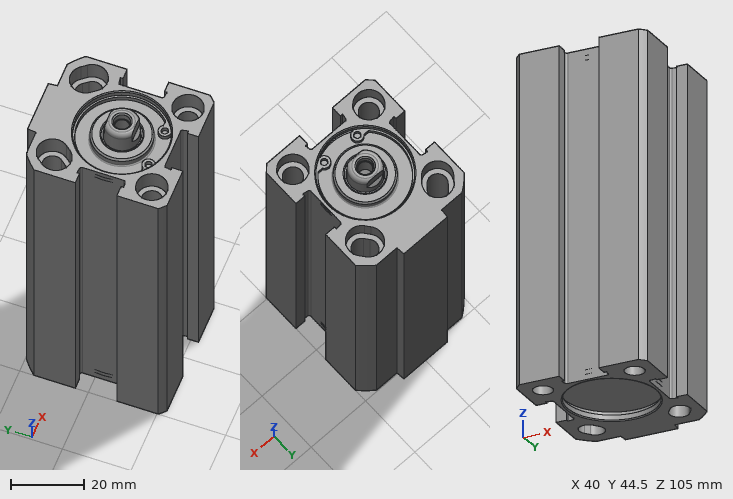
import cadquery as cq
import math

body_width = 40.0
body_depth = 44.5
body_height = 99.5
body_front = -body_width / 2
body_back = 21.9
corner_radius = 27.0

tongue_tip_y = body_front + body_depth
tongue_tip_width = 16.0
tongue_root_width = 16.5

slot_mouth_width = 12.1
slot_inner_width = 13.6
slot_floor_width = 13.0
front_slot_floor = 14.8
side_slot_floor = 14.6
slot_lip = 3.3
slot_floor_fillet = 0.6

bolt_offset = 14.0
bolt_diameter = 5.8
bolt_head_diameter = 8.8
bolt_head_depth = 6.0
bolt_slot_shift_x = 1.2
bolt_slot_shift_y = 1.5

seat_diameter = 27.0
seat_chamfer = 0.3
seat_depth = 3.2
groove_diameter = 29.0
groove_width = 1.4

cover_thickness = 10.5
boss_diameter = 17.5
boss_height = 2.5
boss_chamfer = 0.5
boss_root_fillet = 0.3
rod_hole_diameter = 10.5
wiper_diameter = 11.4
wiper_depth = 0.5
wiper_chamfer = 0.3

ring_outer_diameter = 28.4
ring_inner_diameter = 25.8
lug_diameter = 3.7
lug_hole_diameter = 2.0
lug_web_width = 2.1
lug_x = 6.0
lug_y = -10.2
ring_turn = -1.2

rod_top = 105.0
rod_diameter = 10.0
rod_tip_fillet = 1.4
flat_width = 8.0
flat_height = 3.7
thread_diameter = 4.7
thread_depth = 2.3
thread_chamfer = 0.4
drill_diameter = 4.1
drill_depth = 8.4
drill_point_angle = 118.0

cover_face_z = body_height - seat_depth
cover_bottom_z = cover_face_z - cover_thickness


def cylinder(diameter, bottom_z, top_z):
    return cq.Workplane("XY").workplane(offset=bottom_z).circle(diameter / 2).extrude(top_z - bottom_z)


def body_blank():
    """Square block with its corners rounded about the cylinder axis."""
    depth = body_back - body_front
    block = (
        cq.Workplane("XY")
        .center(0, (body_back + body_front) / 2)
        .rect(body_width, depth)
        .extrude(body_height)
    )
    return block.intersect(cylinder(2 * corner_radius, 0, body_height))


def tongue():
    """Slightly tapered rib along the back of the housing."""
    root = tongue_root_width / 2
    tip = tongue_tip_width / 2
    points = [
        (-root, 0),
        (-root, body_back),
        (-tip, tongue_tip_y),
        (tip, tongue_tip_y),
        (root, body_back),
        (root, 0),
    ]
    return cq.Workplane("XY").polyline(points).close().extrude(body_height)


def rail_slot(turn, floor_distance):
    """T-shaped rail slot, opening towards -Y before it is turned about Z."""
    mouth = slot_mouth_width / 2
    inner = slot_inner_width / 2
    floor = slot_floor_width / 2
    outside_y = body_front
    lip_y = body_front + slot_lip
    floor_y = -floor_distance
    points = [
        (-mouth, outside_y),
        (-mouth, lip_y),
        (-inner, lip_y),
        (-floor, floor_y),
        (floor, floor_y),
        (inner, lip_y),
        (mouth, lip_y),
        (mouth, outside_y),
    ]
    slot = cq.Workplane("XY").polyline(points).close().extrude(body_height)
    slot = slot.edges("|Z and >Y").fillet(slot_floor_fillet)
    return slot.rotate((0, 0, 0), (0, 0, 1), turn)


def bolt_cut(diameter, bottom_z, side, stretched):
    """Cutter for a corner bolt hole: round at the front, stretched to a slot at the back."""
    height = body_height - bottom_z
    plane = cq.Workplane("XY").workplane(offset=bottom_z)
    x = side * bolt_offset
    if not stretched:
        return plane.center(x, -bolt_offset).circle(diameter / 2).extrude(height)
    length = math.hypot(bolt_slot_shift_x, bolt_slot_shift_y)
    angle = math.degrees(math.atan2(bolt_slot_shift_y, -side * bolt_slot_shift_x))
    return (
        plane.center(x - side * bolt_slot_shift_x / 2, bolt_offset + bolt_slot_shift_y / 2)
        .slot2D(length + diameter, diameter, angle)
        .extrude(height)
    )


def end_recess():
    """Round recess with a ring groove in the bottom end of the housing."""
    seat = seat_diameter / 2
    rim = seat + seat_chamfer
    groove = groove_diameter / 2
    groove_bottom_z = seat_depth - groove_width
    profile = [
        (0, 0),
        (rim, 0),
        (seat, seat_chamfer),
        (seat, groove_bottom_z),
        (groove, groove_bottom_z),
        (groove, seat_depth),
        (0, seat_depth),
    ]
    return cq.Workplane("XZ").polyline(profile).close().revolve(360, (0, 0, 0), (0, 1, 0))


def make_housing():
    housing = body_blank().union(tongue())
    for turn, floor_distance in ((0, front_slot_floor), (90, side_slot_floor), (-90, side_slot_floor)):
        housing = housing.cut(rail_slot(turn, floor_distance))
    for side in (-1, 1):
        for stretched in (False, True):
            housing = housing.cut(bolt_cut(bolt_diameter, 0, side, stretched))
            housing = housing.cut(bolt_cut(bolt_head_diameter, body_height - bolt_head_depth, side, stretched))
    housing = housing.cut(cylinder(seat_diameter, cover_bottom_z, cover_face_z)).cut(end_recess())
    top_recess = end_recess().mirror("XY").translate((0, 0, body_height))
    return housing.cut(top_recess)


def make_cover():
    """Disc with a raised boss, bored for the rod and recessed for its wiper."""
    disc = cylinder(seat_diameter, cover_bottom_z, cover_face_z)
    boss_top_z = cover_face_z + boss_height
    boss = cylinder(boss_diameter, cover_face_z, boss_top_z)
    cover = disc.union(boss)
    cover = cover.edges(cq.selectors.RadiusNthSelector(0)).edges("<Z").fillet(boss_root_fillet)
    cover = cover.faces(">Z").edges().chamfer(boss_chamfer)
    cover = cover.cut(cylinder(rod_hole_diameter, cover_bottom_z, boss_top_z))
    cover = cover.cut(cylinder(wiper_diameter, boss_top_z - wiper_depth, boss_top_z))
    return cover.faces(">Z").edges(cq.selectors.RadiusNthSelector(0)).chamfer(wiper_chamfer)


def make_ring():
    """Snap ring lying on the cover, open at the front between two eyed lugs."""
    top_z = cover_face_z + groove_width
    ring = cylinder(ring_outer_diameter, cover_face_z, top_z)
    ring = ring.cut(cylinder(ring_inner_diameter, cover_face_z, top_z))
    web_length = ring_outer_diameter / 2
    gap = cq.Workplane("XY").workplane(offset=cover_face_z).center(0, -ring_outer_diameter / 2)
    ring = ring.cut(gap.rect(2 * lug_x, ring_outer_diameter / 2).extrude(groove_width))
    inside = cylinder(seat_diameter, cover_face_z, top_z)
    for side in (-1, 1):
        place = (side * lug_x, lug_y, 0)
        lug = cylinder(lug_diameter, cover_face_z, top_z).translate(place)
        hole = cylinder(lug_hole_diameter, cover_face_z, top_z).translate(place)
        web = (
            cq.Workplane("XY")
            .workplane(offset=cover_face_z)
            .center(side * (lug_x + web_length / 2), lug_y)
            .rect(web_length, lug_web_width)
            .extrude(groove_width)
        )
        ring = ring.union(lug.union(web).intersect(inside)).cut(hole)
    return ring.rotate((0, 0, 0), (0, 0, 1), ring_turn)


def make_rod():
    """Rod with two wrench flats and a stepped, drilled hole in its rounded tip."""
    rod = cylinder(rod_diameter, cover_bottom_z, rod_top).faces(">Z").edges().fillet(rod_tip_fillet)
    flat_y = flat_width / 2
    flat_z = rod_top - flat_height
    run_out = rod_diameter / 2 - flat_y
    for side in (-1, 1):
        points = [
            (side * flat_y, rod_top),
            (side * flat_y, flat_z),
            (side * (flat_y + run_out), flat_z - run_out),
            (side * (flat_y + run_out), rod_top),
        ]
        wrench_flat = cq.Workplane("YZ").polyline(points).close().extrude(rod_diameter / 2, both=True)
        rod = rod.cut(wrench_flat)
    thread = thread_diameter / 2
    drill = drill_diameter / 2
    point_depth = drill / math.tan(math.radians(drill_point_angle / 2))
    bore = (
        cq.Workplane("XZ")
        .moveTo(0, rod_top)
        .lineTo(thread + thread_chamfer, rod_top)
        .lineTo(thread, rod_top - thread_chamfer)
        .lineTo(thread, rod_top - thread_depth)
        .lineTo(drill, rod_top - thread_depth)
        .lineTo(drill, rod_top - drill_depth)
        .lineTo(0, rod_top - drill_depth - point_depth)
        .close()
        .revolve(360, (0, 0, 0), (0, 1, 0))
    )
    return rod.cut(bore)


housing = make_housing()
cover = make_cover()
ring = make_ring()
rod = make_rod()

result = cq.Compound.makeCompound([housing.val(), cover.val(), ring.val(), rod.val()])